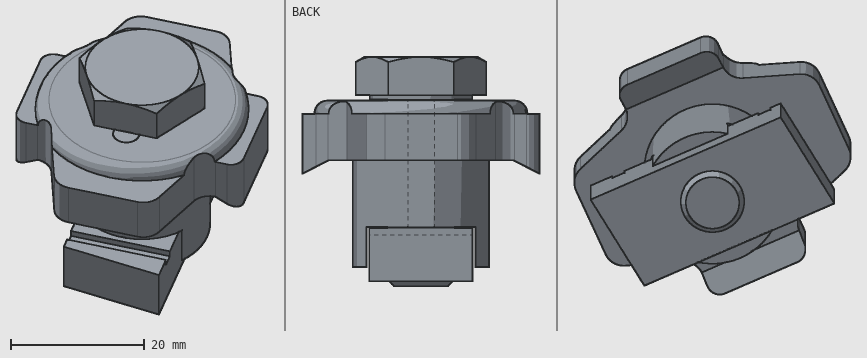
import cadquery as cq
import math

bolt_diameter = 10.0
bolt_tip_chamfer = 1.0
head_across_flats = 17.0
head_chamfer_angle = 30.0
collar_diameter = 15.4
collar_height = 0.7

nut_width = 15.5
nut_height = 8.0
nut_long_end = 16.55
nut_short_end = 14.7
groove_width = 2.0
groove_depth = 1.0
groove_offset = 12.0

body_diameter = 20.5
body_height = 10.0
slot_width = 16.3
leg_length = 6.0
x_arm_reach = 17.8
x_arm_half_width = 8.0
x_arm_corner_radius = 2.0
y_arm_reach = 20.0
y_arm_tip_half_width = 7.5
y_arm_flare_angle = 20.0
lobe_blend_radius = 3.0
lobe_thickness = 7.0
hook_start = 13.9
hook_drop = 2.0
dome_diameter = 32.0
dome_height = 2.0

pin_diameter = 3.9
pin_hole_diameter = 4.0
pin_offset = 8.0

clearance = 0.1
nut_bottom = 0.75
nut_top = nut_bottom + nut_height
slot_roof = nut_top + clearance
leg_bottom = slot_roof - leg_length
hub_bottom = slot_roof + body_height
lobe_top = hub_bottom + lobe_thickness
dome_top = lobe_top + dome_height
collar_bottom = dome_top + clearance
head_bottom = collar_bottom + collar_height
head_top = 34.4


def plane_at(height):
    return cq.Workplane("XY").workplane(offset=height)


def cylinder(diameter, bottom, top):
    return plane_at(bottom).circle(diameter / 2).extrude(top - bottom)


def make_lobe_prism(bottom, top):
    """Rounded cross-shaped prism: straight arms along X, flared arms along Y."""
    flare = math.tan(math.radians(y_arm_flare_angle))
    notch_x = y_arm_tip_half_width + flare * (y_arm_reach - x_arm_half_width)
    quarter = [
        (x_arm_reach, x_arm_half_width),
        (notch_x, x_arm_half_width),
        (y_arm_tip_half_width, y_arm_reach),
    ]
    half = quarter + [(-x, y) for x, y in reversed(quarter)]
    outline = half + [(-x, -y) for x, y in half]
    prism = plane_at(bottom).polyline(outline).close().extrude(top - bottom)
    prism = prism.edges("|Z and (not >X) and (not <X)").fillet(lobe_blend_radius)
    return prism.edges("|Z and (>X or <X)").fillet(x_arm_corner_radius)


def make_hub():
    """Lobes with sloped hooks under the X arms, and a domed disc on top."""
    hook_bottom = hub_bottom - hook_drop
    side = [
        (-x_arm_reach, hook_bottom),
        (-hook_start, hub_bottom),
        (hook_start, hub_bottom),
        (x_arm_reach, hook_bottom),
        (x_arm_reach, lobe_top),
        (-x_arm_reach, lobe_top),
    ]
    lobes = cq.Workplane("XZ").polyline(side).close().extrude(y_arm_reach, both=True)
    dome = cylinder(dome_diameter, hub_bottom, dome_top).faces(">Z").edges().fillet(dome_height)
    return make_lobe_prism(hook_bottom, dome_top).intersect(lobes.union(dome))


def make_body():
    """Round body; the slot along Y leaves one leg on each side of the nut."""
    body = cylinder(body_diameter, leg_bottom, hub_bottom)
    slot = plane_at(leg_bottom).rect(slot_width, body_diameter).extrude(leg_length)
    return body.cut(slot)


def make_pin_pair(diameter):
    """Two upright cylinders, one on each side of the bolt along Y."""
    pin = cylinder(diameter, nut_top, dome_top)
    return pin.translate((0, pin_offset, 0)).union(pin.translate((0, -pin_offset, 0)))


def make_nut():
    """Block with slanted ends and a groove across the top near each end."""
    half_width = nut_width / 2
    corners = [
        (-half_width, -nut_short_end),
        (half_width, -nut_long_end),
        (half_width, nut_short_end),
        (-half_width, nut_long_end),
    ]
    nut = plane_at(nut_bottom).polyline(corners).close().extrude(nut_height)
    grooves = (
        plane_at(nut_top - groove_depth)
        .pushPoints([(0, groove_offset), (0, -groove_offset)])
        .rect(nut_width, groove_width)
        .extrude(groove_depth)
    )
    return nut.cut(grooves)


def make_bolt():
    """Hexagon head with conically chamfered corners, on a collar and a shank."""
    flat_radius = head_across_flats / 2
    corner_radius = flat_radius / math.cos(math.pi / 6)
    chamfer_drop = (corner_radius - flat_radius) * math.tan(math.radians(head_chamfer_angle))
    hexagon = plane_at(head_bottom).polygon(6, 2 * corner_radius).extrude(head_top - head_bottom)
    chamfer_profile = [
        (0, head_bottom),
        (corner_radius, head_bottom),
        (corner_radius, head_top - chamfer_drop),
        (flat_radius, head_top),
        (0, head_top),
    ]
    chamfer_cone = (
        cq.Workplane("XZ").polyline(chamfer_profile).close().revolve(360, (0, 0, 0), (0, 1, 0))
    )
    collar = cylinder(collar_diameter, collar_bottom, head_bottom)
    shank = cylinder(bolt_diameter, 0, head_bottom).faces("<Z").chamfer(bolt_tip_chamfer)
    return hexagon.intersect(chamfer_cone).union(collar).union(shank)


clamp = make_hub().union(make_body()).cut(make_pin_pair(pin_hole_diameter))
nut = make_nut().union(make_pin_pair(pin_diameter))
result = clamp.union(nut).union(make_bolt())